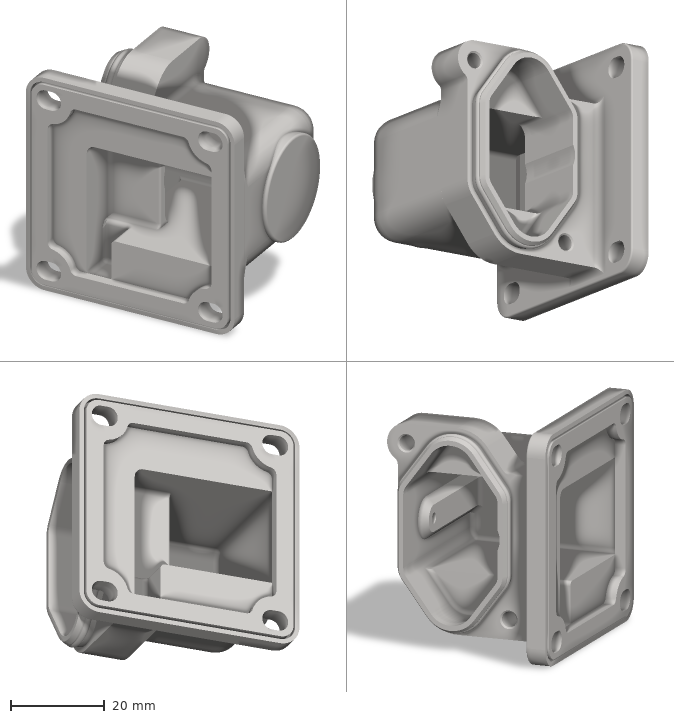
import cadquery as cq
import math


flange_size = 51.0
flange_back_y = 4.75
flange_front_y = 0.3
flange_corner_radius = 4.5
flange_edge_round = 0.35
rim_width = 1.0
seal_gap = 0.5
flange_seal_thickness = 2.4
opening_size = 40.0
opening_corner_round = 1.5
slot_length = 6.0
slot_width = 4.5
slot_x = 19.75
slot_z = 20.5
slot_land_radius = 5.5

oval_y = 25.3
oval_half_width = 10.85
oval_half_height = 19.85
oval_side_radius = 3.0
oval_straight_half = 8.1
oval_slope = math.atan2(3, 4)

mouth_x = -17.6
front_x = -13.5
collar_back_x = -3.55
flange_edge_x = flange_size / 2
wall = 2.9
body_half_height = 13.66
body_round = 5.4
body_top_y = oval_y + oval_half_width + wall
foot_round = 1.5
collar_round = 1.5
lug_radius = 4.4
lug_neck_round = 1.5
screw_offset_y = 11.8
screw_offset_z = 18.35
screw_hole_radius = 1.7
screw_hole_chamfer = 0.35
screw_hole_depth = 8.0
snout_wall = 1.7
snout_lead_in_length = 1.1
snout_lead_in_depth = 0.6
boss_radius = 12.05
boss_y = 24.45
boss_start_x = 21.5
boss_end_x = 26.5
boss_edge_round = 0.5

bead_start_x = -16.2
bead_width = 1.5
bead_inner_offset = 0.9
bead_outer_offset = 2.1
bead_round = 0.74

inner_round = 1.0
chamber_end_x = -6.4
passage_half_height = 10.7
passage_end_x = 21.5
partition_end_x = 0.65
partition_edge_round = 0.5
recess_start_x = -11.8
recess_floor_y = 12.4
recess_corner_radius = 2.0
channel_end_x = -5.8
channel_floor_y = 10.3
channel_bottom_z = -20.7
channel_corner_radius = 1.01
relief_radius = 5.0
relief_depth = 0.5

earth_x = -4.4
earth_base_radius = 4.7
earth_tip_radius = 3.0
earth_height = 1.8
earth_hole_radius = 1.2
earth_hole_depth = 3.0


def block(x0, x1, y0, y1, z0, z1):
    """Box between two corners."""
    return cq.Workplane("XY").box(x1 - x0, y1 - y0, z1 - z0, centered=False).translate((x0, y0, z0))


def rounded_plate(size, radius, y0, y1):
    """Square plate around the Y axis with round corners."""
    half = size / 2
    return block(-half, half, y0, y1, -half, half).edges("|Y").fillet(radius)


def oval(offset, x0, x1):
    """Solid of the mouth's oval, grown outwards by `offset`, from x0 to x1."""
    normal_y = math.cos(oval_slope)
    normal_z = math.sin(oval_slope)
    side_y = oval_half_width - oval_side_radius
    side_z = oval_straight_half
    line_distance = normal_y * side_y + normal_z * side_z + oval_side_radius
    end_radius = (line_distance - normal_z * oval_half_height) / (1 - normal_z)
    end_z = oval_half_height - end_radius

    def on_side(angle):
        r = oval_side_radius + offset
        return side_y + r * math.cos(angle), side_z + r * math.sin(angle)

    def on_end(angle):
        r = end_radius + offset
        return r * math.cos(angle), end_z + r * math.sin(angle)

    def mirror(point, sign_y, sign_z):
        return oval_y + sign_y * point[0], sign_z * point[1]

    flat_end = on_side(0)
    side_middle = on_side(oval_slope / 2)
    slope_start = on_side(oval_slope)
    slope_end = on_end(oval_slope)
    apex = on_end(math.pi / 2)
    outline = (
        cq.Workplane("YZ", origin=(x0, 0, 0))
        .moveTo(*mirror(flat_end, 1, -1))
        .lineTo(*mirror(flat_end, 1, 1))
        .threePointArc(mirror(side_middle, 1, 1), mirror(slope_start, 1, 1))
        .lineTo(*mirror(slope_end, 1, 1))
        .threePointArc(mirror(apex, 1, 1), mirror(slope_end, -1, 1))
        .lineTo(*mirror(slope_start, -1, 1))
        .threePointArc(mirror(side_middle, -1, 1), mirror(flat_end, -1, 1))
        .lineTo(*mirror(flat_end, -1, -1))
        .threePointArc(mirror(side_middle, -1, -1), mirror(slope_start, -1, -1))
        .lineTo(*mirror(slope_end, -1, -1))
        .threePointArc(mirror(apex, 1, -1), mirror(slope_end, 1, -1))
        .lineTo(*mirror(slope_start, 1, -1))
        .threePointArc(mirror(side_middle, 1, -1), mirror(flat_end, 1, -1))
        .close()
    )
    return outline.extrude(x1 - x0)


def rod_x(radius, y, z, x0, x1):
    """Cylinder along X."""
    return cq.Workplane("YZ", origin=(x0, 0, 0)).center(y, z).circle(radius).extrude(x1 - x0)


def mounting_slots():
    """The four slots through flange and flange seal."""
    points = [(sx * slot_x, sz * slot_z) for sx in (-1, 1) for sz in (-1, 1)]
    return (
        cq.Workplane("XZ").pushPoints(points).slot2D(slot_length, slot_width)
        .extrude(-flange_back_y)
    )


def make_collar(x0, x1):
    """Thick ring behind the snout, with a screw lug above and a foot down to the flange."""
    half_height = oval_half_height + wall
    lug_y = oval_y + screw_offset_y
    lug = rod_x(lug_radius, lug_y, screw_offset_z, x0, x1)
    web = block(x0, x1, oval_y, lug_y, screw_offset_z, half_height)
    neck = block(x0, x1, oval_y, body_top_y, 0, screw_offset_z)
    foot = block(x0, x1, flange_back_y, oval_y, -half_height, 0)
    collar = oval(wall, x0, x1).union(lug).union(web).union(neck).union(foot)
    corner = ((x0 + x1) / 2, body_top_y, screw_offset_z - lug_radius)
    corner_edge = cq.selectors.NearestToPointSelector(corner)
    return collar.edges("|X").edges(corner_edge).fillet(lug_neck_round)


def make_back_fillet():
    """Concave round between the back of the collar and the body, over the body's round edge."""
    bend_y = body_top_y - body_round
    bend_z = body_half_height - body_round
    end_x = collar_back_x + collar_round
    buried_x = collar_back_x - collar_round / 2
    buried_z = body_half_height - collar_round / 2
    arc_drop = collar_round * (1 - math.sin(math.pi / 4))

    def section(y):
        return (
            cq.Workplane("XZ", origin=(0, y, 0))
            .moveTo(buried_x, buried_z)
            .lineTo(end_x, buried_z)
            .lineTo(end_x, body_half_height)
            .threePointArc(
                (collar_back_x + arc_drop, body_half_height + arc_drop),
                (collar_back_x, body_half_height + collar_round),
            )
            .lineTo(buried_x, body_half_height + collar_round)
            .close()
        )

    straight = section(bend_y).extrude(bend_y - flange_back_y)
    bend = section(bend_y).revolve(90, (1, bend_z), (0, bend_z))
    return straight.union(bend).intersect(make_collar(buried_x, end_x))


def make_outside():
    """Housing without its inner spaces."""
    body = block(
        collar_back_x, flange_edge_x, flange_back_y, body_top_y, -body_half_height, body_half_height
    )
    body = body.edges("(|Y and >X) or (|X and >Y) or (|Z and >X and >Y)").fillet(body_round)
    throat = block(front_x, collar_back_x, flange_back_y, oval_y, -body_half_height, body_half_height)
    base = block(-flange_size, flange_size, flange_front_y, flange_back_y, -flange_size, flange_size)
    outside = body.union(throat).union(make_collar(front_x, collar_back_x)).union(base)

    def needs_round(edge):
        box = edge.BoundingBox()
        at_foot = box.ymin > flange_back_y - 0.01 and box.ymax < flange_back_y + 0.01
        on_top = box.zmin > body_half_height - 0.01 and box.zmax < body_half_height + 0.01
        beside_collar = box.xmax < collar_back_x + 0.01 and box.xmin < front_x + 0.01
        return at_foot or (on_top and beside_collar and box.ymin > flange_back_y + 1)

    inner_corners = [edge for edge in outside.edges().vals() if needs_round(edge)]
    outside = outside.newObject(inner_corners).fillet(foot_round).union(make_back_fillet())
    flange = rounded_plate(flange_size, flange_corner_radius, flange_front_y, flange_back_y)
    flange = flange.faces(">Y").edges().fillet(flange_edge_round)
    half = flange_size / 2
    above = block(-half, half, flange_back_y, 2 * body_top_y, -half, half)
    outside = outside.intersect(flange.union(above))
    snout = oval(snout_wall, mouth_x, front_x).faces("<X").edges().chamfer(
        snout_lead_in_length, snout_lead_in_depth
    )
    cable_boss = rod_x(boss_radius, boss_y, 0, boss_start_x, boss_end_x)
    cable_boss = cable_boss.faces(">X").edges().fillet(boss_edge_round)
    return outside.union(snout).union(cable_boss)


def ridge_section(x):
    """Trapezoid of the earth boss, seen along X, as an outline at the given x."""
    wall_y = oval_y + oval_half_width
    tip_y = wall_y - earth_height
    return (
        cq.Workplane("YZ", origin=(x, 0, 0))
        .moveTo(tip_y, -earth_tip_radius)
        .lineTo(tip_y, earth_tip_radius)
        .lineTo(wall_y, earth_base_radius)
        .lineTo(wall_y, -earth_base_radius)
        .close()
    )


def make_chamber():
    """Space behind the mouth, ending at the ledges above and below the passage."""
    return oval(0, mouth_x, chamber_end_x).faces(">X").edges().fillet(inner_round)


def make_passage():
    """Space that leads on from the chamber and turns down to the flange."""
    start_x = chamber_end_x - 2 * inner_round
    slab = block(
        start_x, passage_end_x, 0, 2 * body_top_y, -passage_half_height, passage_half_height
    )
    passage = oval(0, start_x, passage_end_x).intersect(slab)
    passage = passage.edges("|X and (>Z or <Z)").fillet(inner_round)
    ridge = ridge_section(earth_x).extrude(passage_end_x - earth_x)
    passage = passage.cut(ridge).faces(">X").edges().fillet(inner_round)
    descent = block(
        partition_end_x, passage_end_x, flange_seal_thickness, oval_y,
        -passage_half_height, passage_half_height,
    )
    descent = descent.edges("|Y and >X").fillet(inner_round)
    return passage.union(descent)


def make_recess():
    """Shallow space beside the passage, open to the flange, with a channel running down from it."""
    recess = block(
        recess_start_x, partition_end_x, 0, recess_floor_y, -passage_half_height, passage_half_height
    )
    recess = recess.edges("|Y and <X and >Z").fillet(recess_corner_radius)
    recess = recess.faces(">Y").edges("not >X").fillet(inner_round)
    channel = block(
        recess_start_x, channel_end_x, 0, channel_floor_y, channel_bottom_z, -passage_half_height
    )
    channel = channel.edges("|Y and <Z").fillet(channel_corner_radius)
    channel = channel.faces(">Y").edges("not >Z").fillet(inner_round)
    space = recess.union(channel)
    lip = ((recess_start_x + channel_end_x) / 2, channel_floor_y, -passage_half_height)
    return space.edges(cq.selectors.NearestToPointSelector(lip)).fillet(inner_round)


def make_earth_boss():
    """Cone that ends the ridge on the passage wall, and the hole in its tip."""
    wall_y = oval_y + oval_half_width
    tip_y = wall_y - earth_height
    half_section = (
        cq.Workplane("XY", origin=(earth_x, 0, 0))
        .moveTo(0, tip_y)
        .lineTo(earth_tip_radius, tip_y)
        .lineTo(earth_base_radius, wall_y)
        .lineTo(earth_base_radius, wall_y + wall / 2)
        .lineTo(0, wall_y + wall / 2)
        .close()
    )
    cone = half_section.revolve(360, (0, 0, 0), (0, 1, 0))
    hole = (
        cq.Workplane("XZ", origin=(earth_x, tip_y, 0)).circle(earth_hole_radius)
        .extrude(-earth_hole_depth)
    )
    return cone, hole


def make_screw_hole(side):
    """Blind chamfered hole in the collar front, above (+1) or below (-1) the oval."""
    y = oval_y + side * screw_offset_y
    z = side * screw_offset_z
    hole = rod_x(screw_hole_radius, y, z, front_x, front_x + screw_hole_depth)
    mouth = rod_x(screw_hole_radius + screw_hole_chamfer, y, z, front_x, front_x + screw_hole_chamfer)
    mouth = mouth.faces(">X").chamfer(screw_hole_chamfer * 0.999)
    return hole.union(mouth)


def make_bead():
    """Seal ring around the snout."""
    bead_end_x = bead_start_x + bead_width
    bead = oval(bead_outer_offset, bead_start_x, bead_end_x).edges("not |X").fillet(bead_round)
    return bead.cut(oval(bead_inner_offset, bead_start_x, bead_end_x))


def make_flange_seal():
    """Plate seal in the flange recess, with an opening that steps round the slots."""
    inset = rim_width + seal_gap
    seal = rounded_plate(
        flange_size - 2 * inset, flange_corner_radius - inset, 0, flange_seal_thickness
    )
    half = opening_size / 2
    opening = block(-half, half, 0, flange_seal_thickness, -half, half)
    for sx in (-1, 1):
        for sz in (-1, 1):
            land = (
                cq.Workplane("XZ", origin=(sx * slot_x, 0, sz * slot_z)).circle(slot_land_radius)
                .extrude(-flange_seal_thickness)
            )
            opening = opening.cut(land)
    opening = opening.edges("|Y").fillet(opening_corner_round)
    return seal.cut(opening).cut(mounting_slots())


def make_housing():
    """Housing with its inner spaces, seal seats and screw holes."""
    partition_edge = (partition_end_x, recess_floor_y, 0)
    housing = make_outside()
    seal_recess = rounded_plate(
        flange_size - 2 * rim_width, flange_corner_radius - rim_width, 0, flange_seal_thickness
    )
    housing = housing.cut(seal_recess).cut(mounting_slots())
    housing = housing.cut(make_chamber()).cut(make_passage()).cut(make_recess())
    housing = housing.edges(cq.selectors.NearestToPointSelector(partition_edge)).fillet(
        partition_edge_round
    )
    groove = oval(2 * bead_outer_offset, bead_start_x, bead_start_x + bead_width)
    groove = groove.cut(oval(bead_inner_offset, bead_start_x, bead_start_x + bead_width))
    housing = housing.cut(groove)
    relief_y = oval_y - oval_half_width - relief_depth + relief_radius
    housing = housing.cut(rod_x(relief_radius, relief_y, 0, mouth_x, partition_end_x))
    boss, hole = make_earth_boss()
    housing = housing.union(boss).cut(hole)
    for side in (-1, 1):
        housing = housing.cut(make_screw_hole(side))
    return housing


housing = make_housing()
flange_seal = make_flange_seal()
bead_seal = make_bead()
result = cq.Compound.makeCompound([housing.val(), flange_seal.val(), bead_seal.val()])